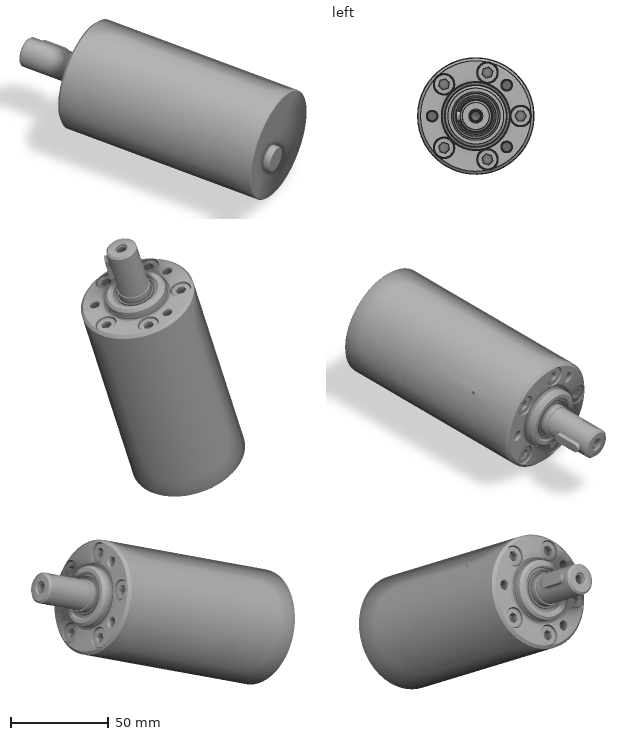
import cadquery as cq
import math

BODY_DIAMETER = 60.0

HUB_FACE_X = 30.0
FLANGE_FACE_X = 34.9
HOUSING_X = 47.9
FRONT_PLATE_X = 103.8
GEAR_RING_X = 108.8
REAR_PLATE_X = 122.1
COVER_X = 127.2
COVER_END_X = 149.0
OVERALL_LENGTH = 153.0

FLANGE_CHAMFER = 1.5
HUB_DIAMETER = 31.5
HUB_CHAMFER = 1.4
HUB_COLLAR_DIAMETER = 32.1
HUB_COLLAR_LENGTH = 0.5
HUB_GROOVE_MOUTH_DIAMETER = 35.5
HUB_GROOVE_DIAMETER = 34.6
HUB_GROOVE_DEPTH = 0.6
SEAL_RECESS_MOUTH_DIAMETER = 25.0
SEAL_RECESS_DIAMETER = 23.3
SEAL_RECESS_DEPTH = 1.5
SEAL_GROOVE_OUTER_DIAMETER = 20.8
SEAL_GROOVE_INNER_DIAMETER = 19.0
SEAL_GROOVE_DEPTH = 0.9
SHAFT_BORE_DIAMETER = 17.3
SHAFT_BORE_END_X = 45.6

SCREW_ANGLES = (0, 75, 135, 225, 285)
SCREW_CIRCLE_RADIUS = 23.1
SCREW_HEAD_DIAMETER = 10.0
SCREW_POCKET_DIAMETER = 11.0
SCREW_POCKET_DEPTH = 6.1
SCREW_HEAD_SETBACK = 0.9
HEX_ACROSS_FLATS = 5.0
HEX_DEPTH = 4.0

TAPPED_ANGLES = (45, 180, 315)
TAPPED_CIRCLE_RADIUS = 22.5
TAPPED_MOUTH_DIAMETER = 6.0
TAPPED_DIAMETER = 4.9
TAPPED_DEPTH = 12.1

SHAFT_DIAMETER = 16.0
SHOULDER_DIAMETER = 17.0
SHOULDER_X = 27.7
SHAFT_CHAMFER = 1.0
CENTRE_MOUTH_DIAMETER = 7.2
CENTRE_THREAD_DIAMETER = 6.0
CENTRE_DRILL_DIAMETER = 4.9
CENTRE_THREAD_DEPTH = 1.5
CENTRE_DRILL_DEPTH = 12.2
DRILL_TIP_ANGLE = 118
KEY_START_X = 4.1
KEY_LENGTH = 16.0
KEY_WIDTH = 5.0
KEY_TOP_Y = 10.0

SIDE_HOLE_DIAMETER = 2.0
SIDE_HOLE_X = 62.8
SIDE_HOLE_ANGLE = 60
SIDE_HOLE_DEPTH = 2.3

COVER_CHAMFER = 0.5
PLUG_Y = -10.4
PLUG_NECK_DIAMETER = 13.8
PLUG_DIAMETER = 14.0
PLUG_END_DIAMETER = 13.0
PLUG_NECK_LENGTH = 0.8
PLUG_CHAMFER_LENGTH = 0.9


def cylinder(diameter, start_x, end_x, y=0):
    return cq.Workplane("YZ", origin=(start_x, y, 0)).circle(diameter / 2).extrude(end_x - start_x)


def cone(start_diameter, end_diameter, start_x, end_x, y=0):
    return cq.Workplane(cq.Solid.makeCone(
        start_diameter / 2, end_diameter / 2, end_x - start_x,
        pnt=cq.Vector(start_x, y, 0), dir=cq.Vector(1, 0, 0),
    ))


def around_axis(body, angle):
    return body.rotate((0, 0, 0), (1, 0, 0), angle)


def screw_pocket():
    y = -SCREW_CIRCLE_RADIUS
    end = FLANGE_FACE_X + SCREW_POCKET_DEPTH
    head_face = FLANGE_FACE_X + SCREW_HEAD_SETBACK
    head = cylinder(SCREW_HEAD_DIAMETER, head_face, end, y)
    ring = cylinder(SCREW_POCKET_DIAMETER, FLANGE_FACE_X, end, y).cut(head)
    socket = (
        cq.Workplane("YZ", origin=(head_face, y, 0))
        .polygon(6, HEX_ACROSS_FLATS / math.cos(math.pi / 6)).extrude(HEX_DEPTH)
    )
    return ring.union(socket)


def tapped_hole():
    y = -TAPPED_CIRCLE_RADIUS
    lead = (TAPPED_MOUTH_DIAMETER - TAPPED_DIAMETER) / 2
    hole = cylinder(TAPPED_DIAMETER, FLANGE_FACE_X, FLANGE_FACE_X + TAPPED_DEPTH, y)
    return hole.union(cone(TAPPED_MOUTH_DIAMETER, TAPPED_DIAMETER, FLANGE_FACE_X, FLANGE_FACE_X + lead, y))


def make_flange():
    flange = cylinder(BODY_DIAMETER, FLANGE_FACE_X, HOUSING_X).faces("<X").chamfer(FLANGE_CHAMFER)
    groove_end = FLANGE_FACE_X + HUB_GROOVE_DEPTH
    groove_lead = (HUB_GROOVE_MOUTH_DIAMETER - HUB_GROOVE_DIAMETER) / 2
    flange = flange.cut(cylinder(HUB_GROOVE_DIAMETER, FLANGE_FACE_X, groove_end))
    flange = flange.cut(cone(
        HUB_GROOVE_MOUTH_DIAMETER, HUB_GROOVE_DIAMETER, FLANGE_FACE_X, FLANGE_FACE_X + groove_lead))
    hub = cylinder(HUB_DIAMETER, HUB_FACE_X, groove_end).faces("<X").chamfer(HUB_CHAMFER)
    collar = cylinder(HUB_COLLAR_DIAMETER, FLANGE_FACE_X - HUB_COLLAR_LENGTH, groove_end)
    flange = flange.union(hub).union(collar)

    recess_floor = HUB_FACE_X + SEAL_RECESS_DEPTH
    recess_lead = (SEAL_RECESS_MOUTH_DIAMETER - SEAL_RECESS_DIAMETER) / 2
    seal_groove_end = recess_floor + SEAL_GROOVE_DEPTH
    seal_groove = cylinder(SEAL_GROOVE_OUTER_DIAMETER, recess_floor, seal_groove_end).cut(
        cylinder(SEAL_GROOVE_INNER_DIAMETER, recess_floor, seal_groove_end))
    flange = flange.cut(cylinder(SEAL_RECESS_DIAMETER, HUB_FACE_X, recess_floor))
    flange = flange.cut(cone(
        SEAL_RECESS_MOUTH_DIAMETER, SEAL_RECESS_DIAMETER, HUB_FACE_X, HUB_FACE_X + recess_lead))
    flange = flange.cut(seal_groove)
    flange = flange.cut(cylinder(SHAFT_BORE_DIAMETER, HUB_FACE_X, SHAFT_BORE_END_X))
    for angle in SCREW_ANGLES:
        flange = flange.cut(around_axis(screw_pocket(), angle))
    for angle in TAPPED_ANGLES:
        flange = flange.cut(around_axis(tapped_hole(), angle))
    return flange


def make_shaft():
    shaft = cylinder(SHAFT_DIAMETER, 0, SHOULDER_X).faces("<X").chamfer(SHAFT_CHAMFER)
    shaft = shaft.union(cylinder(SHOULDER_DIAMETER, SHOULDER_X, SHAFT_BORE_END_X))
    key = (
        cq.Workplane("XZ", origin=(KEY_START_X + KEY_LENGTH / 2, 0, 0))
        .slot2D(KEY_LENGTH, KEY_WIDTH).extrude(-KEY_TOP_Y)
    )
    shaft = shaft.union(key)
    lead = (CENTRE_MOUTH_DIAMETER - CENTRE_THREAD_DIAMETER) / 2
    tip = CENTRE_DRILL_DIAMETER / 2 / math.tan(math.radians(DRILL_TIP_ANGLE / 2))
    shaft = shaft.cut(cone(CENTRE_MOUTH_DIAMETER, CENTRE_THREAD_DIAMETER, 0, lead))
    shaft = shaft.cut(cylinder(CENTRE_THREAD_DIAMETER, 0, CENTRE_THREAD_DEPTH))
    shaft = shaft.cut(cylinder(CENTRE_DRILL_DIAMETER, 0, CENTRE_DRILL_DEPTH))
    return shaft.cut(cone(CENTRE_DRILL_DIAMETER, 0, CENTRE_DRILL_DEPTH, CENTRE_DRILL_DEPTH + tip))


def make_housing():
    housing = cylinder(BODY_DIAMETER, HOUSING_X, FRONT_PLATE_X)
    side_hole = (
        cq.Workplane("XY", origin=(SIDE_HOLE_X, 0, BODY_DIAMETER / 2 - SIDE_HOLE_DEPTH))
        .circle(SIDE_HOLE_DIAMETER / 2).extrude(2 * SIDE_HOLE_DEPTH)
    )
    return housing.cut(around_axis(side_hole, -SIDE_HOLE_ANGLE))


def make_cover():
    cover = cylinder(BODY_DIAMETER, COVER_X, COVER_END_X).faces(">X").chamfer(COVER_CHAMFER)
    neck_end = COVER_END_X + PLUG_NECK_LENGTH
    chamfer_start = OVERALL_LENGTH - PLUG_CHAMFER_LENGTH
    cover = cover.union(cylinder(PLUG_NECK_DIAMETER, COVER_END_X, neck_end, PLUG_Y))
    cover = cover.union(cylinder(PLUG_DIAMETER, neck_end, chamfer_start, PLUG_Y))
    return cover.union(cone(PLUG_DIAMETER, PLUG_END_DIAMETER, chamfer_start, OVERALL_LENGTH, PLUG_Y))


flange = make_flange()
shaft = make_shaft()
housing = make_housing()
front_plate = cylinder(BODY_DIAMETER, FRONT_PLATE_X, GEAR_RING_X)
gear_ring = cylinder(BODY_DIAMETER, GEAR_RING_X, REAR_PLATE_X)
rear_plate = cylinder(BODY_DIAMETER, REAR_PLATE_X, COVER_X)
cover = make_cover()

result = cq.Compound.makeCompound([
    flange.val(),
    shaft.val(),
    housing.val(),
    front_plate.val(),
    gear_ring.val(),
    rear_plate.val(),
    cover.val(),
])